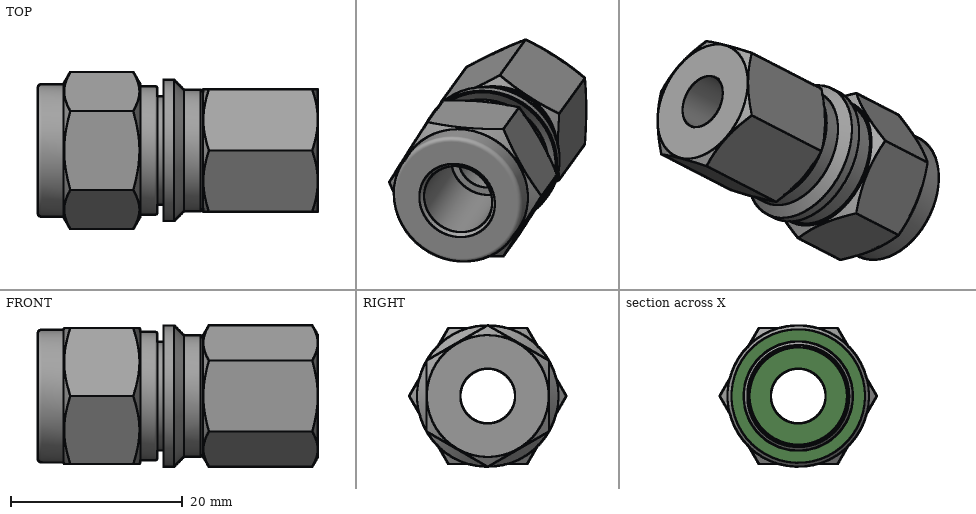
import cadquery as cq
import math


NUT_HEX_START = 3.0
NUT_HEX_END = 11.97
COLLAR_END = 13.97
FLANGE_START = 14.65
NECK_END = 15.8
FLANGE_RIM_END = 15.9
FLANGE_CONE_END = 17.05
BODY_RING_END = 19.0
BODY_HEX_START = 19.3
LENGTH = 32.67

SLEEVE_DIAMETER = 15.5
COLLAR_DIAMETER = 15.0
NECK_DIAMETER = 12.7
GROOVE_DIAMETER = 11.4
FLANGE_DIAMETER = 16.5
BODY_RING_DIAMETER = 14.2

FLANGE_LIP_WIDTH = 0.2

NUT_ACROSS_FLATS = 15.88
BODY_ACROSS_FLATS = 14.29
HEX_SIDES = 6
HEX_CHAMFER_ANGLE = 30.0

SLEEVE_FILLET = 0.5
COLLAR_FILLET = 0.3
NECK_CHAMFER = 0.4
BODY_RING_CHAMFER = BODY_HEX_START - BODY_RING_END

TUBE_SOCKET_DIAMETER = 8.2
TUBE_SOCKET_DEPTH = 13.0
SOCKET_MOUTH_DIAMETER = 9.1
THROUGH_DIAMETER = 6.35

INLET_PLANE = cq.Plane(origin=(0, 0, 0), xDir=(0, 1, 0), normal=(1, 0, 0))


def cylinder(start, end, diameter):
    """Cylinder on the X axis between two stations."""
    return cq.Workplane(INLET_PLANE).workplane(offset=start).circle(diameter / 2).extrude(end - start)


def revolve_profile(points):
    """Solid of revolution about X from (station, radius) points."""
    return cq.Workplane("XY").polyline(points).close().revolve(360, (0, 0, 0), (1, 0, 0))


def hexagon(start, end, across_flats, end_circle_diameter, rotation):
    """Hexagonal prism whose corners are cut back by a cone at both ends."""
    across_corners = across_flats / math.cos(math.pi / HEX_SIDES)
    prism = (
        cq.Workplane(INLET_PLANE).workplane(offset=start)
        .polygon(HEX_SIDES, across_corners)
        .extrude(end - start)
        .rotate((0, 0, 0), (1, 0, 0), rotation)
    )
    corner_radius = across_corners / 2
    end_radius = end_circle_diameter / 2
    setback = (corner_radius - end_radius) * math.tan(math.radians(HEX_CHAMFER_ANGLE))
    envelope = revolve_profile([
        (start, 0),
        (start, end_radius),
        (start + setback, corner_radius),
        (end - setback, corner_radius),
        (end, end_radius),
        (end, 0),
    ])
    return prism.intersect(envelope)


def make_nut():
    """Rounded sleeve, hexagon with corners on Y, and rounded collar."""
    sleeve = cylinder(0, NUT_HEX_END, SLEEVE_DIAMETER).faces("<X").edges().fillet(SLEEVE_FILLET)
    hex_section = hexagon(NUT_HEX_START, NUT_HEX_END, NUT_ACROSS_FLATS, SLEEVE_DIAMETER, 0)
    collar = cylinder(NUT_HEX_START, COLLAR_END, COLLAR_DIAMETER)
    collar = collar.faces(">X").edges().fillet(COLLAR_FILLET)
    return sleeve.union(hex_section).union(collar)


def make_body():
    """Chamfered neck, grooved core, dished flange, ring, and hexagon with corners on Z."""
    neck = cylinder(NUT_HEX_START, NECK_END, NECK_DIAMETER)
    neck = neck.faces(">X").edges().chamfer(NECK_CHAMFER)
    core = cylinder(NUT_HEX_START, FLANGE_CONE_END, GROOVE_DIAMETER)
    ring_radius = BODY_RING_DIAMETER / 2
    flange_radius = FLANGE_DIAMETER / 2
    groove_radius = GROOVE_DIAMETER / 2
    recess_radius = flange_radius - FLANGE_LIP_WIDTH
    recess_depth = recess_radius - groove_radius
    flange = revolve_profile([
        (FLANGE_START + recess_depth, 0),
        (FLANGE_START + recess_depth, groove_radius),
        (FLANGE_START, recess_radius),
        (FLANGE_START, flange_radius),
        (FLANGE_RIM_END, flange_radius),
        (FLANGE_CONE_END, ring_radius),
        (BODY_RING_END, ring_radius),
        (BODY_HEX_START, ring_radius - BODY_RING_CHAMFER),
        (BODY_HEX_START, 0),
    ])
    hex_section = hexagon(BODY_HEX_START, LENGTH, BODY_ACROSS_FLATS, BODY_RING_DIAMETER, 90)
    return neck.union(core).union(flange).union(hex_section)


def make_bore():
    """Tube socket with a countersunk mouth, and a smaller hole through."""
    mouth_radius = SOCKET_MOUTH_DIAMETER / 2
    socket_radius = TUBE_SOCKET_DIAMETER / 2
    through_radius = THROUGH_DIAMETER / 2
    mouth_depth = mouth_radius - socket_radius
    return revolve_profile([
        (0, 0),
        (0, mouth_radius),
        (mouth_depth, socket_radius),
        (TUBE_SOCKET_DEPTH, socket_radius),
        (TUBE_SOCKET_DEPTH, through_radius),
        (LENGTH, through_radius),
        (LENGTH, 0),
    ])


result = make_nut().union(make_body()).cut(make_bore())